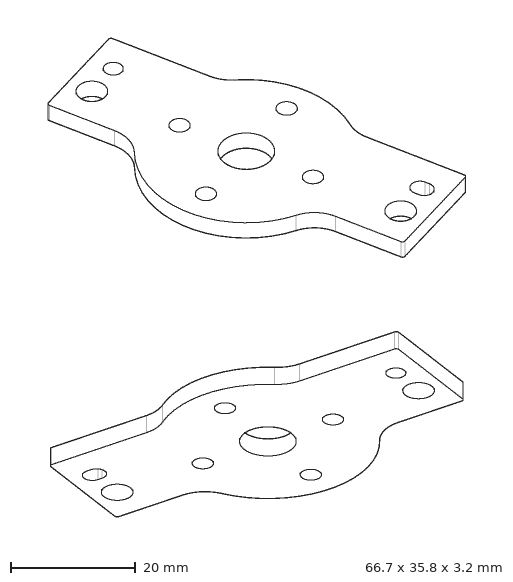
import cadquery as cq

length = 66.7
thickness = 3.2
disc_diameter = 35.8
arm_top = 13.0
arm_bottom = -6.55
neck_radius = 6.55
corner_radius = 0.5

center_bore_diameter = 9.1
disc_hole_diameter = 3.4
disc_hole_circle_radius = 12.5
end_hole_x = 28.9
end_hole_diameter = 5.1
pin_hole_y = 6.6
pin_hole_diameter = 3.2
pin_slot_length = 4.0


def make_plate():
    """Round disc crossed by an arm, blended at the four necks."""
    arm_height = arm_top - arm_bottom
    arm_center_y = (arm_top + arm_bottom) / 2
    arm = (
        cq.Workplane("XY")
        .center(0, arm_center_y)
        .rect(length, arm_height)
        .extrude(thickness)
        .edges("|Z")
        .fillet(corner_radius)
    )
    disc = cq.Workplane("XY").circle(disc_diameter / 2).extrude(thickness)
    plate = arm.union(disc)

    neck_zone = cq.selectors.BoxSelector(
        (-end_hole_x, -disc_diameter, -thickness),
        (end_hole_x, disc_diameter, 2 * thickness),
    )
    return plate.edges("|Z").edges(neck_zone).fillet(neck_radius)


def round_cutter(diameter, points):
    """Through-cutting cylinders at the given points."""
    return cq.Workplane("XY").pushPoints(points).circle(diameter / 2).extrude(thickness)


plate = make_plate()

plate = plate.cut(round_cutter(center_bore_diameter, [(0, 0)]))
disc_hole_points = [
    (disc_hole_circle_radius, 0),
    (0, disc_hole_circle_radius),
    (-disc_hole_circle_radius, 0),
    (0, -disc_hole_circle_radius),
]
plate = plate.cut(round_cutter(disc_hole_diameter, disc_hole_points))

plate = plate.cut(round_cutter(end_hole_diameter, [(-end_hole_x, 0), (end_hole_x, 0)]))
plate = plate.cut(round_cutter(pin_hole_diameter, [(-end_hole_x, pin_hole_y)]))
pin_slot = (
    cq.Workplane("XY")
    .center(end_hole_x, pin_hole_y)
    .slot2D(pin_slot_length, pin_hole_diameter)
    .extrude(thickness)
)

result = plate.cut(pin_slot)